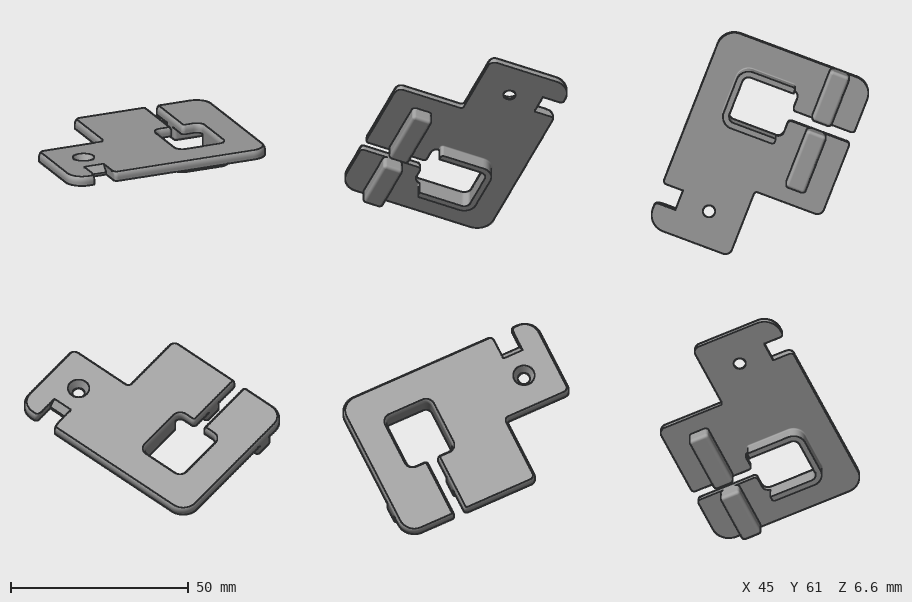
import cadquery as cq
import math

width = 45.0
length = 61.0
height = 6.6

plate_thickness = 2.6
plate_bottom = height - plate_thickness
leg_left = 20.0
shoulder_y = 20.0
large_radius = 5.0
corner_radius = 2.0
window_radius = 1.8
lip_radius = 1.0
inner_radius = 0.75

edge_radius = 2.25
edge_height = 1.6
edge_inset = edge_radius - math.sqrt(edge_radius**2 - edge_height**2)

window_left = 18.5
window_width = 16.5
window_height = 13.9
window_center_y = 44.1
slot_width = 3.0
window_right = window_left + window_width
window_low = window_center_y - window_height / 2
window_high = window_center_y + window_height / 2
slot_low = window_center_y - slot_width / 2
slot_high = window_center_y + slot_width / 2

fixing_y = 10.0
hole_x = 30.0
hole_diameter = 3.4
countersink_diameter = 6.05
countersink_angle = 60
notch_width = 6.0
notch_left = 37.1
notch_slope = 1.9

rail_left = 7.0
rail_width = 5.85
rail_low = 25.0
rail_radius = 1.0
rail_lower_radius = 0.9

wall_thickness = 1.7
wall_left = 20.25
wall_end_radius = 0.75
wall_root_radius = 0.35

cut_margin = 0.3
pick_margin = 0.05


def rounded_outline(corners, z):
    """Closed outline at height z from (x, y, radius) corners, each rounded by a tangent arc."""
    arcs = []
    for index, (x, y, radius) in enumerate(corners):
        corner = cq.Vector(x, y, z)
        before = corners[index - 1]
        after = corners[(index + 1) % len(corners)]
        to_before = (cq.Vector(before[0], before[1], z) - corner).normalized()
        to_after = (cq.Vector(after[0], after[1], z) - corner).normalized()
        half_angle = to_before.getAngle(to_after) / 2
        tangent_length = radius / math.tan(half_angle)
        middle_distance = radius / math.sin(half_angle) - radius
        start = corner + to_before * tangent_length
        middle = corner + (to_before + to_after).normalized() * middle_distance
        end = corner + to_after * tangent_length
        arcs.append((start, middle, end))
    edges = []
    for index, (start, middle, end) in enumerate(arcs):
        edges.append(cq.Edge.makeLine(arcs[index - 1][2], start))
        edges.append(cq.Edge.makeThreePointArc(start, middle, end))
    return cq.Wire.assembleEdges(edges)


plate_corners = [
    (0, length, large_radius),
    (0, slot_high, lip_radius),
    (window_left, slot_high, lip_radius),
    (window_left, window_high, window_radius),
    (window_right, window_high, window_radius),
    (window_right, window_low, window_radius),
    (window_left, window_low, window_radius),
    (window_left, slot_low, lip_radius),
    (0, slot_low, lip_radius),
    (0, shoulder_y, corner_radius),
    (leg_left, shoulder_y, inner_radius),
    (leg_left, 0, corner_radius),
    (width, 0, large_radius),
    (width, length, large_radius),
]


def make_edge_cutter():
    """Waste outside the rounded upper edge, swept once around the plate outline."""
    path = rounded_outline(plate_corners, height - edge_height)
    section_plane = cq.Plane(
        origin=(width - large_radius, length, height - edge_height), xDir=(0, 1, 0), normal=(1, 0, 0)
    )
    half_height = edge_height / 2
    half_inset = edge_radius - math.sqrt(edge_radius**2 - half_height**2)
    return (
        cq.Workplane(section_plane)
        .threePointArc((-half_inset, half_height), (-edge_inset, edge_height))
        .lineTo(-edge_inset, edge_height + cut_margin)
        .lineTo(cut_margin, edge_height + cut_margin)
        .lineTo(cut_margin, 0)
        .close()
        .sweep(cq.Workplane(path))
    )


def make_plate():
    outline = rounded_outline(plate_corners, plate_bottom)
    plate = cq.Workplane(cq.Solid.extrudeLinear(outline, [], cq.Vector(0, 0, plate_thickness)))
    return plate.cut(make_edge_cutter())


def make_notch():
    """Notch from the right side, with a slope at the top of its inner end."""
    return (
        cq.Workplane("XZ", origin=(0, fixing_y + notch_width / 2, 0))
        .moveTo(notch_left, height)
        .lineTo(width + cut_margin, height)
        .lineTo(width + cut_margin, plate_bottom)
        .lineTo(notch_left + notch_slope, plate_bottom)
        .lineTo(notch_left + notch_slope, height - notch_slope)
        .close()
        .extrude(notch_width)
    )


def make_mouth_cutter():
    """Waste of one mouth corner of the notch, following the side wall and its rounded upper edge."""
    arc_start = height - edge_height
    arc_center_x = width - edge_radius
    arc_middle_angle = math.radians(45)
    profile_path = (
        cq.Workplane("XZ", origin=(0, fixing_y + notch_width / 2, 0))
        .moveTo(width, plate_bottom - cut_margin)
        .lineTo(width, arc_start)
        .threePointArc(
            (
                arc_center_x + edge_radius * math.cos(arc_middle_angle),
                arc_start + edge_radius * math.sin(arc_middle_angle),
            ),
            (arc_center_x, arc_start + edge_radius),
        )
    )
    round_middle = lip_radius * (1 - math.sin(arc_middle_angle))
    return (
        cq.Workplane("XY", origin=(width, fixing_y + notch_width / 2, plate_bottom - cut_margin))
        .moveTo(-lip_radius, 0)
        .threePointArc((-round_middle, round_middle), (0, lip_radius))
        .lineTo(cut_margin, lip_radius)
        .lineTo(cut_margin, -cut_margin)
        .lineTo(-lip_radius, -cut_margin)
        .close()
        .sweep(profile_path)
    )


def make_screw_hole():
    sink_depth = (countersink_diameter - hole_diameter) / 2 / math.tan(math.radians(countersink_angle / 2))
    return (
        cq.Workplane("XZ", origin=(hole_x, fixing_y, 0))
        .moveTo(0, plate_bottom)
        .lineTo(hole_diameter / 2, plate_bottom)
        .lineTo(hole_diameter / 2, height - sink_depth)
        .lineTo(countersink_diameter / 2, height)
        .lineTo(0, height)
        .close()
        .revolve(360, (0, 0), (0, 1))
    )


def make_rail(low, high):
    """One piece of the rail, rounded on its upright and lower edges."""
    return (
        cq.Workplane("XY")
        .box(rail_width, high - low, plate_bottom, centered=False)
        .edges("|Z")
        .fillet(rail_radius)
        .faces("<Z")
        .edges()
        .fillet(rail_lower_radius)
        .translate((rail_left, low, 0))
    )


def make_window_wall():
    """C-shaped wall, concentric with the window corners."""
    outer_right = window_right + wall_thickness
    outer_low = window_low - wall_thickness
    outer_high = window_high + wall_thickness
    outer_radius = window_radius + wall_thickness
    corners = [
        (wall_left, outer_high, wall_end_radius),
        (outer_right, outer_high, outer_radius),
        (outer_right, outer_low, outer_radius),
        (wall_left, outer_low, wall_end_radius),
    ]
    block = cq.Workplane(
        cq.Solid.extrudeLinear(rounded_outline(corners, 0), [], cq.Vector(0, 0, plate_bottom))
    )
    slab = cq.Workplane("XY", origin=(0, 0, plate_bottom)).box(
        width, length, plate_thickness, centered=False
    )
    root_edges = cq.selectors.BoxSelector(
        (cut_margin, cut_margin, plate_bottom - pick_margin),
        (width - cut_margin, length - cut_margin, plate_bottom + pick_margin),
    )
    return block.union(slab).edges(root_edges).fillet(wall_root_radius).cut(slab)


def make_window():
    """Opening of the window below the plate, inside the wall."""
    return (
        cq.Workplane("XY")
        .rect(window_width, window_height)
        .extrude(plate_bottom)
        .edges("|Z")
        .fillet(window_radius)
        .translate((window_left + window_width / 2, window_center_y, 0))
    )


upper_mouth = make_mouth_cutter()
lower_mouth = upper_mouth.mirror("XZ", (0, fixing_y, 0))
plate = (
    make_plate()
    .cut(make_notch())
    .cut(upper_mouth)
    .cut(lower_mouth)
    .cut(make_screw_hole())
)

result = (
    plate.union(make_window_wall())
    .union(make_rail(rail_low, slot_low))
    .union(make_rail(slot_high, length))
    .cut(make_window())
)